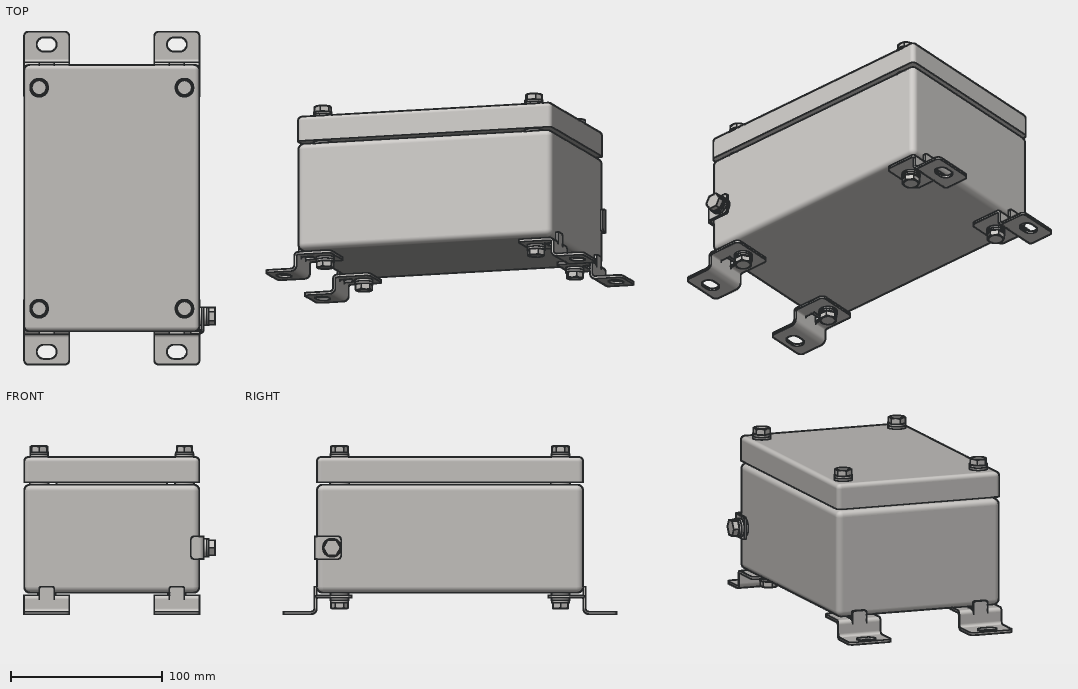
import cadquery as cq
import math

BOX_X = 115.8
BOX_Y = 176.0
BODY_BOTTOM = 14.2
BODY_TOP = 85.7
BODY_RADIUS = 4.0
LID_BOTTOM = 87.2
LID_TOP = 104.0
LID_RADIUS = 3.0
GASKET_INSET = 21.3

HEAD_ACROSS_FLATS = 10.0
HEAD_ACROSS_CORNERS = HEAD_ACROSS_FLATS / math.cos(math.radians(30))
HEAD_HEIGHT = 4.0
HEAD_FACE_DIAMETER = 9.6
HEAD_CHAMFER_ANGLE = 30.0
WASHER_DIAMETER = 12.0
PLAIN_WASHER_THICKNESS = 1.6
SPRING_WASHER_DIAMETER = 11.8
SPRING_WASHER_THICKNESS = 1.6
LID_SPACER_DIAMETER = 12.7
SCREW_Y = 73.0

POINT_ALONG_X = 0.0
POINT_ALONG_Y = 90.0

UPWARD_TO_PLUS_X = 90.0
UPWARD_TO_DOWNWARD = 180.0

LID_SCREW_X = 48.0

FOOT_X = 43.0
FOOT_WIDTH = 30.0
FOOT_REACH = 110.0
SHEET = 1.75
LOWER_BEND_INNER_RADIUS = 2.2
LOWER_BEND_OUTER_RADIUS = LOWER_BEND_INNER_RADIUS + SHEET
UPPER_BEND_INNER_RADIUS = 1.0
UPPER_BEND_OUTER_RADIUS = UPPER_BEND_INNER_RADIUS + SHEET
FLANGE_TOP = 12.7
FLANGE_LENGTH = 25.0
FOOT_CORNER_RADIUS = 3.0
SLOT_LENGTH = 13.0
SLOT_WIDTH = 9.2
SLOT_TO_FOOT_END = 8.5
TAB_WIDTH = 10.0
TAB_TOP = 18.3
TAB_CORNER_RADIUS = 1.5
WINDOW_LENGTH = 7.5

EARTH_Y = -78.0
EARTH_Z = 44.0
EARTH_PLATE_HEIGHT = 15.0
EARTH_PLATE_FRONT_LENGTH = 8.5
EARTH_PLATE_SIDE_LENGTH = 17.5
EARTH_PLATE_CORNER_RADIUS = 2.0
EARTH_SPACER = 1.4
EARTH_WASHER_THICKNESS = 1.8
EARTH_SHEET = 1.5
EARTH_BEND_INNER_RADIUS = 1.5
EARTH_BEND_OUTER_RADIUS = EARTH_BEND_INNER_RADIUS + EARTH_SHEET


def box_block(bottom, top):
    """Plain block with the outline of the box between two heights."""
    return (
        cq.Workplane("XY")
        .workplane(offset=bottom)
        .rect(BOX_X, BOX_Y)
        .extrude(top - bottom)
    )


def make_body():
    return box_block(BODY_BOTTOM, BODY_TOP).edges().fillet(BODY_RADIUS)


def make_lid():
    """Lid with rounded upright and top edges and a sharp lower rim."""
    return box_block(LID_BOTTOM, LID_TOP).edges("|Z or >Z").fillet(LID_RADIUS)


def make_gasket():
    return (
        cq.Workplane("XY")
        .workplane(offset=BODY_TOP)
        .rect(BOX_X - 2 * GASKET_INSET, BOX_Y - 2 * GASKET_INSET)
        .extrude(LID_BOTTOM - BODY_TOP)
    )


def disc(diameter, bottom, thickness):
    return cq.Workplane("XY").workplane(offset=bottom).circle(diameter / 2).extrude(thickness)


def make_screw(turn, washer_thickness=PLAIN_WASHER_THICKNESS, chamfered=True):
    """Plain washer, spring washer and hexagon head stacked upward from Z = 0."""
    head_bottom = washer_thickness + SPRING_WASHER_THICKNESS
    chamfer_width = (HEAD_ACROSS_CORNERS - HEAD_FACE_DIAMETER) / 2
    chamfer_drop = chamfer_width * math.tan(math.radians(HEAD_CHAMFER_ANGLE))
    head = (
        cq.Workplane("XY")
        .workplane(offset=head_bottom)
        .polygon(6, HEAD_ACROSS_CORNERS)
        .extrude(HEAD_HEIGHT)
        .rotate((0, 0, 0), (0, 0, 1), turn)
    )
    if chamfered:
        chamfer_cone = disc(HEAD_ACROSS_CORNERS, head_bottom, HEAD_HEIGHT).faces(">Z").chamfer(
            chamfer_drop, chamfer_width
        )
        head = head.intersect(chamfer_cone)
    washers = disc(WASHER_DIAMETER, 0, washer_thickness).union(
        disc(SPRING_WASHER_DIAMETER, washer_thickness, SPRING_WASHER_THICKNESS)
    )
    return washers.union(head)


def make_lid_fastening(turn):
    """Spacer under the lid and screw on top of it, on the Z axis."""
    spacer = disc(LID_SPACER_DIAMETER, BODY_TOP, LID_BOTTOM - BODY_TOP)
    return spacer.union(make_screw(turn).translate((0, 0, LID_TOP)))


def make_foot():
    """Z-shaped foot, at X = 0 and on the -Y side of the box.

    Its locating tab is bent up out of the flange and leaves a window behind it.
    """
    wall_inner = -BOX_Y / 2
    wall_outer = wall_inner - SHEET
    flange_end = wall_outer + FLANGE_LENGTH
    flange_bottom = FLANGE_TOP - SHEET
    strip = (
        cq.Workplane("YZ")
        .moveTo(-FOOT_REACH, 0)
        .lineTo(wall_inner - LOWER_BEND_OUTER_RADIUS, 0)
        .radiusArc((wall_inner, LOWER_BEND_OUTER_RADIUS), -LOWER_BEND_OUTER_RADIUS)
        .lineTo(wall_inner, flange_bottom - UPPER_BEND_INNER_RADIUS)
        .radiusArc((wall_inner + UPPER_BEND_INNER_RADIUS, flange_bottom), UPPER_BEND_INNER_RADIUS)
        .lineTo(flange_end, flange_bottom)
        .lineTo(flange_end, FLANGE_TOP)
        .lineTo(wall_outer + UPPER_BEND_OUTER_RADIUS, FLANGE_TOP)
        .radiusArc((wall_outer, FLANGE_TOP - UPPER_BEND_OUTER_RADIUS), -UPPER_BEND_OUTER_RADIUS)
        .lineTo(wall_outer, SHEET + LOWER_BEND_INNER_RADIUS)
        .radiusArc((wall_outer - LOWER_BEND_INNER_RADIUS, SHEET), LOWER_BEND_INNER_RADIUS)
        .lineTo(-FOOT_REACH, SHEET)
        .close()
        .extrude(FOOT_WIDTH / 2, both=True)
    )
    strip = strip.edges("|Z and (<Y or >Y)").fillet(FOOT_CORNER_RADIUS)

    tab_bottom = FLANGE_TOP - UPPER_BEND_OUTER_RADIUS
    tab = (
        cq.Workplane("XY")
        .box(TAB_WIDTH, SHEET, TAB_TOP - tab_bottom, centered=(True, False, False))
        .translate((0, wall_outer, tab_bottom))
        .edges("|Y and >Z")
        .fillet(TAB_CORNER_RADIUS)
    )
    slot = (
        cq.Workplane("XY")
        .center(0, -FOOT_REACH + SLOT_TO_FOOT_END)
        .slot2D(SLOT_LENGTH, SLOT_WIDTH)
        .extrude(SHEET)
    )
    window = (
        cq.Workplane("XY")
        .box(TAB_WIDTH, WINDOW_LENGTH, FLANGE_TOP - tab_bottom, centered=(True, False, False))
        .translate((0, wall_inner, tab_bottom))
    )
    return strip.union(tab).cut(slot).cut(window)


def make_foot_assembly(turn):
    """Foot with its spacer above the flange and its screw below, on the -Y side."""
    screw = (
        make_screw(turn)
        .rotate((0, 0, 0), (1, 0, 0), UPWARD_TO_DOWNWARD)
        .translate((0, -SCREW_Y, FLANGE_TOP - SHEET))
    )
    spacer = disc(WASHER_DIAMETER, FLANGE_TOP, BODY_BOTTOM - FLANGE_TOP).translate((0, -SCREW_Y, 0))
    return make_foot().union(spacer).union(screw)


def make_earth_terminal():
    """Angle plate around the front +X corner, held off the side by a spacer under a screw."""
    side = BOX_X / 2
    front = -BOX_Y / 2
    plate_inner = side + EARTH_SPACER
    plate_outer = plate_inner + EARTH_SHEET
    plate_front = front - EARTH_SHEET
    front_leg_end = plate_outer - EARTH_PLATE_FRONT_LENGTH
    side_leg_end = plate_front + EARTH_PLATE_SIDE_LENGTH
    plate = (
        cq.Workplane("XY")
        .workplane(offset=EARTH_Z - EARTH_PLATE_HEIGHT / 2)
        .moveTo(front_leg_end, plate_front)
        .lineTo(plate_outer - EARTH_BEND_OUTER_RADIUS, plate_front)
        .radiusArc((plate_outer, plate_front + EARTH_BEND_OUTER_RADIUS), -EARTH_BEND_OUTER_RADIUS)
        .lineTo(plate_outer, side_leg_end)
        .lineTo(plate_inner, side_leg_end)
        .lineTo(plate_inner, front + EARTH_BEND_INNER_RADIUS)
        .radiusArc((plate_inner - EARTH_BEND_INNER_RADIUS, front), EARTH_BEND_INNER_RADIUS)
        .lineTo(front_leg_end, front)
        .close()
        .extrude(EARTH_PLATE_HEIGHT)
    )
    plate = plate.edges("|Y and <X").fillet(EARTH_PLATE_CORNER_RADIUS)
    plate = plate.edges("|X and >Y").fillet(EARTH_PLATE_CORNER_RADIUS)

    spacer = disc(WASHER_DIAMETER, 0, EARTH_SPACER)
    spacer = spacer.rotate((0, 0, 0), (0, 1, 0), UPWARD_TO_PLUS_X).translate((side, EARTH_Y, EARTH_Z))
    screw = make_screw(POINT_ALONG_Y, EARTH_WASHER_THICKNESS, chamfered=False)
    screw = screw.rotate((0, 0, 0), (0, 1, 0), UPWARD_TO_PLUS_X).translate((plate_outer, EARTH_Y, EARTH_Z))
    return plate.union(spacer).union(screw)


result = make_body().union(make_gasket()).union(make_lid())

for x in (-LID_SCREW_X, LID_SCREW_X):
    for y in (-SCREW_Y, SCREW_Y):
        is_rear_left = x < 0 < y
        turn = POINT_ALONG_X if is_rear_left else POINT_ALONG_Y
        result = result.union(make_lid_fastening(turn).translate((x, y, 0)))

front_foot = make_foot_assembly(POINT_ALONG_Y)
rear_foot = make_foot_assembly(POINT_ALONG_X).mirror("XZ")
for x in (-FOOT_X, FOOT_X):
    result = result.union(front_foot.translate((x, 0, 0)))
    result = result.union(rear_foot.translate((x, 0, 0)))

result = result.union(make_earth_terminal())